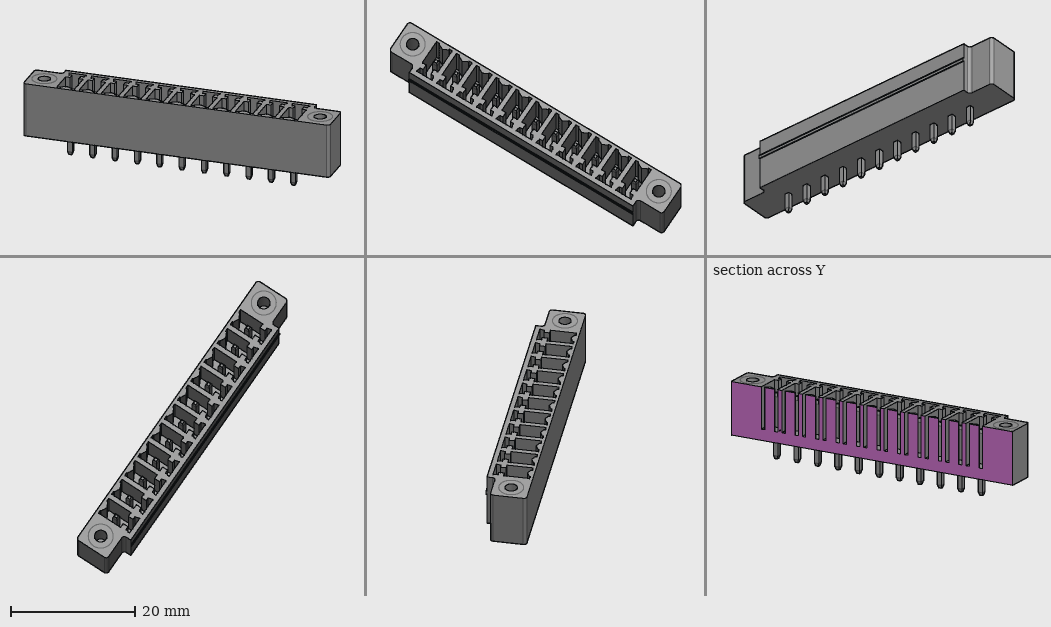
import cadquery as cq

length = 52.3
ear_depth = 5.95
block_depth = 7.4
block_width = 42.8
height = 9.15
corner_radius = 0.5

rib_depth = 0.15
rib_height = 0.65
rib_bottom = 5.7

contact_count = 11
contact_row_length = 38.1
contact_y = 3.0
pitch = contact_row_length / (contact_count - 1)
contact_positions = [(i * pitch - contact_row_length / 2, contact_y) for i in range(contact_count)]

pin_width = 0.85
pin_below = 3.45
pin_tip_length = 0.6
pin_tip_width = 0.45
pin_top_gap = 1.4

floor_thickness = 2.0
pocket_width = 3.0
pocket_front = 0.5
shoulder_y = 4.8
neck_width = 1.45
neck_back = 5.75
dovetail_width = 2.55
pocket_back = 6.55
key_width = 1.9
key_side_height = 0.15
key_height = 0.65

bushing_x = 23.55
bushing_diameter = 4.05
mounting_hole_diameter = 2.0
mounting_hole_depth = 5.25


def make_housing():
    ears = cq.Workplane("XY").box(length, ear_depth, height, centered=(True, False, False))
    block = cq.Workplane("XY").box(block_width, block_depth, height, centered=(True, False, False))
    rounded = cq.selectors.BoxSelector(
        (-length, -corner_radius, 0), (length, ear_depth + corner_radius, height)
    )
    housing = ears.union(block).edges("|Z").edges(rounded).fillet(corner_radius)
    rib = (
        cq.Workplane("XY", origin=(0, block_depth, rib_bottom))
        .box(block_width, rib_depth, rib_height, centered=(True, False, False))
    )
    return housing.union(rib)


def make_pockets():
    """Pockets with a gabled key at the front and a dovetail slot at the back."""
    half_pocket = pocket_width / 2
    half_neck = neck_width / 2
    half_dovetail = dovetail_width / 2
    half_key = key_width / 2
    outline = (
        cq.Sketch()
        .segment((-half_key, pocket_front), (-half_pocket, pocket_front))
        .segment((-half_pocket, shoulder_y))
        .segment((-half_neck, shoulder_y))
        .segment((-half_neck, neck_back))
        .segment((-half_dovetail, neck_back))
        .segment((-half_pocket, pocket_back))
        .segment((half_pocket, pocket_back))
        .segment((half_dovetail, neck_back))
        .segment((half_neck, neck_back))
        .segment((half_neck, shoulder_y))
        .segment((half_pocket, shoulder_y))
        .segment((half_pocket, pocket_front))
        .segment((half_key, pocket_front))
        .segment((half_key, pocket_front + key_side_height))
        .segment((0, pocket_front + key_height))
        .segment((-half_key, pocket_front + key_side_height))
        .close()
        .assemble()
    )
    columns = [(x, 0) for x, _ in contact_positions]
    return (
        cq.Workplane("XY", origin=(0, 0, floor_thickness))
        .pushPoints(columns)
        .placeSketch(outline)
        .extrude(height - floor_thickness)
    )


def make_pins():
    """Square pins with tapered tips at both ends."""
    shank_bottom = pin_tip_length - pin_below
    shank_top = height - pin_top_gap - pin_tip_length

    shanks = (
        cq.Workplane("XY", origin=(0, 0, shank_bottom))
        .pushPoints(contact_positions)
        .rect(pin_width, pin_width)
        .extrude(shank_top - shank_bottom)
    )

    def tip(x, y, z, direction):
        return (
            cq.Workplane("XY", origin=(x, y, z))
            .rect(pin_width, pin_width)
            .workplane(offset=direction * pin_tip_length)
            .rect(pin_tip_width, pin_tip_width)
            .loft(ruled=True)
        )

    pins = shanks
    for x, y in contact_positions:
        pins = pins.union(tip(x, y, shank_top, 1))
        pins = pins.union(tip(x, y, shank_bottom, -1))
    return pins


def make_cylinders(diameter, depth):
    """Cylinders on the two mounting axes, reaching down from the top face."""
    return (
        cq.Workplane("XY", origin=(0, 0, height - depth))
        .pushPoints([(-bushing_x, contact_y), (bushing_x, contact_y)])
        .circle(diameter / 2)
        .extrude(depth)
    )


body = make_housing().cut(make_pockets()).union(make_pins())

bushing_seats = make_cylinders(bushing_diameter, mounting_hole_depth)
bushings = bushing_seats.cut(make_cylinders(mounting_hole_diameter, mounting_hole_depth))
result = body.cut(bushing_seats).union(bushings, clean=False)